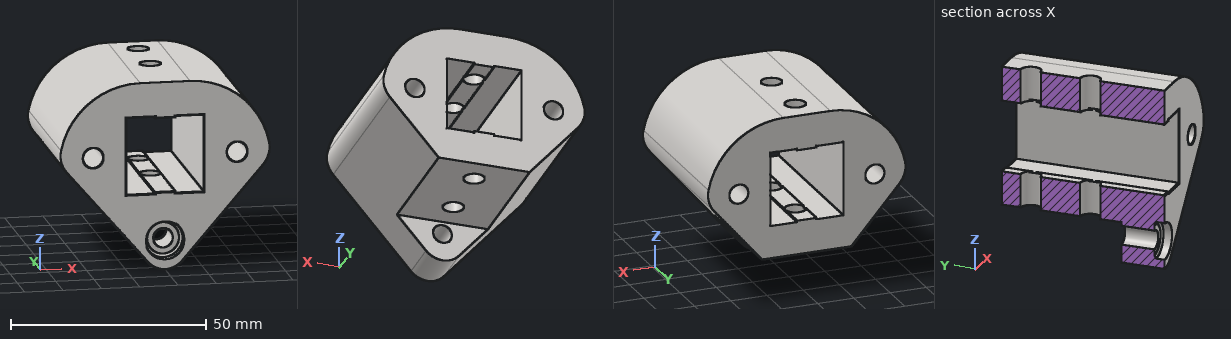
import cadquery as cq
import math

width = 54.6
length = 45.0
top_z = 19.2
bottom_z = -30.2

flat_half_width = 6.5
shoulder_radius = 21.05
corner_radius = 7.1
toe_radius = 5.9

toe_thickness = 12.0
body_bottom_z = -19.05

bore_size = 20.2
rib_width = 5.35
rib_height = 0.4
bore_chamfer = 0.2

side_hole_diameter = 5.25
side_hole_mouth_diameter = 5.45
side_hole_x = 18.8
top_hole_diameter = 5.45
top_hole_places = (20.6, 36.95)
toe_hole_diameter = 5.1
toe_hole_z = -22.55
toe_recess_diameter = 10.0
toe_recess_floor_diameter = 8.3
toe_recess_straight_depth = 2.35
toe_recess_taper_depth = 0.5


def polar(center, radius, angle):
    """Point on a circle in the XZ plane."""
    return (center[0] + radius * math.cos(angle), center[1] + radius * math.sin(angle))


def mirrored(point):
    return (-point[0], point[1])


def front_plane():
    """XZ plane at the front face, extruding towards +Y with +X kept to the right."""
    return cq.Workplane("XZ")


def make_block():
    shoulder = (flat_half_width, top_z - shoulder_radius)
    toe = (0, bottom_z + toe_radius)

    corner_x = width / 2 - corner_radius
    center_distance = shoulder_radius - corner_radius
    corner_rise = math.sqrt(center_distance**2 - (corner_x - shoulder[0]) ** 2)
    corner = (corner_x, shoulder[1] + corner_rise)
    shoulder_angle = math.atan2(corner_rise, corner_x - shoulder[0])

    dx = corner[0] - toe[0]
    dz = corner[1] - toe[1]
    flank_angle = math.atan2(dz, dx) - math.acos((toe_radius - corner_radius) / math.hypot(dx, dz))

    flat_end = (flat_half_width, top_z)
    shoulder_mid = polar(shoulder, shoulder_radius, (math.pi / 2 + shoulder_angle) / 2)
    shoulder_end = polar(corner, corner_radius, shoulder_angle)
    corner_mid = polar(corner, corner_radius, (shoulder_angle + flank_angle) / 2)
    flank_top = polar(corner, corner_radius, flank_angle)
    flank_bottom = polar(toe, toe_radius, flank_angle)

    outline = (
        front_plane()
        .moveTo(*mirrored(flat_end))
        .lineTo(*flat_end)
        .threePointArc(shoulder_mid, shoulder_end)
        .threePointArc(corner_mid, flank_top)
        .lineTo(*flank_bottom)
        .threePointArc((0, bottom_z), mirrored(flank_bottom))
        .lineTo(*mirrored(flank_top))
        .threePointArc(mirrored(corner_mid), mirrored(shoulder_end))
        .threePointArc(mirrored(shoulder_mid), mirrored(flat_end))
        .close()
    )
    block = outline.extrude(-length)
    behind_toe = cq.Workplane("XY").box(
        width, length - toe_thickness, body_bottom_z - bottom_z, centered=(True, False, False)
    )
    return block.cut(behind_toe.translate((0, toe_thickness, bottom_z)))


def cone(wide_diameter, narrow_diameter, depth, x, z, start_y=0):
    """Taper along Y that narrows away from the front face."""
    start = cq.Vector(x, start_y, z)
    along_y = cq.Vector(0, 1, 0)
    return cq.Workplane(
        cq.Solid.makeCone(wide_diameter / 2, narrow_diameter / 2, depth, start, along_y)
    )


def front_hole(diameter, x, z, depth=length):
    """Round cutter along Y from the front face; runs right through unless a depth is given."""
    return front_plane().center(x, z).circle(diameter / 2).extrude(-depth)


def make_bore():
    bore = front_plane().rect(bore_size, bore_size).extrude(-length)
    for side in (1, -1):
        rib_z = side * (bore_size - rib_height) / 2
        rib = front_plane().center(0, rib_z).rect(rib_width, rib_height).extrude(-length)
        bore = bore.cut(rib)
    return bore


part = make_block().cut(make_bore())

mouth_reach = bore_size / 2 + bore_chamfer
mouth_box = cq.selectors.BoxSelector(
    (-mouth_reach, -bore_chamfer, -mouth_reach), (mouth_reach, bore_chamfer, mouth_reach)
)
part = part.faces("<Y").edges(mouth_box).chamfer(bore_chamfer)

side_hole_ease = (side_hole_mouth_diameter - side_hole_diameter) / 2
for x in (-side_hole_x, side_hole_x):
    part = part.cut(front_hole(side_hole_diameter, x, 0))
    part = part.cut(cone(side_hole_mouth_diameter, side_hole_diameter, side_hole_ease, x, 0))

part = part.cut(front_hole(toe_hole_diameter, 0, toe_hole_z))
part = part.cut(front_hole(toe_recess_diameter, 0, toe_hole_z, toe_recess_straight_depth))
part = part.cut(
    cone(
        toe_recess_diameter,
        toe_recess_floor_diameter,
        toe_recess_taper_depth,
        0,
        toe_hole_z,
        toe_recess_straight_depth,
    )
)

for y in top_hole_places:
    drill = cq.Workplane("XY", origin=(0, y, bottom_z)).circle(top_hole_diameter / 2)
    part = part.cut(drill.extrude(top_z - bottom_z))

result = part